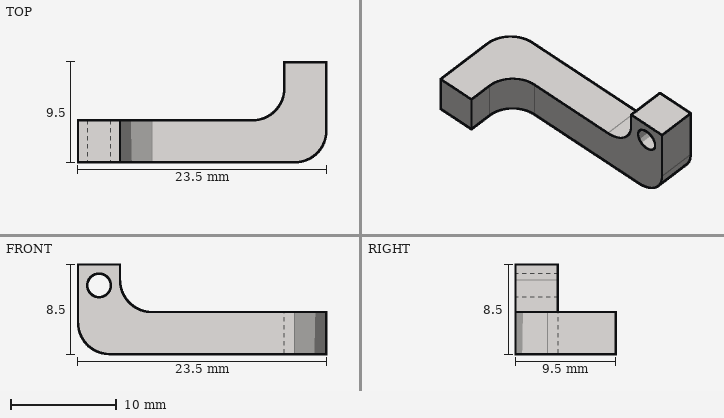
import cadquery as cq

length = 23.5
depth = 9.5
height = 8.5

bar = 4.0
bend_radius = 3.0

hole_diameter = 2.2
hole_x = bar / 2
hole_z = height - bar / 2


def l_profile(plane, reach):
    """Closed L outline: a long leg along X and an arm at X = 0 rising to the given reach."""
    return (
        cq.Workplane(plane)
        .polyline([(0, 0), (length, 0), (length, bar), (bar, bar), (bar, reach), (0, reach)])
        .close()
    )


def round_bend(body, axis, corners):
    """Round the inner and outer edges of a bend, given a point on each edge."""
    for corner in corners:
        nearest = cq.selectors.NearestToPointSelector(corner)
        body = body.edges(axis).edges(nearest).fillet(bend_radius)
    return body


upright = l_profile("XZ", height).extrude(-bar)
upright = round_bend(upright, "|Y", [(0, bar / 2, 0), (bar, bar / 2, bar)])

lateral = l_profile("XY", depth).extrude(bar).mirror("YZ").translate((length, 0, 0))
lateral = round_bend(lateral, "|Z", [(length, 0, bar / 2), (length - bar, bar, bar / 2)])

half_box = cq.Workplane("XY").box(length / 2, depth, height, centered=False)
upright_half = upright.intersect(half_box)
lateral_half = lateral.intersect(half_box.translate((length / 2, 0, 0)))
body = upright_half.union(lateral_half).clean()

hole = (
    cq.Workplane("XZ")
    .center(hole_x, hole_z)
    .circle(hole_diameter / 2)
    .extrude(-bar)
)

result = body.cut(hole)